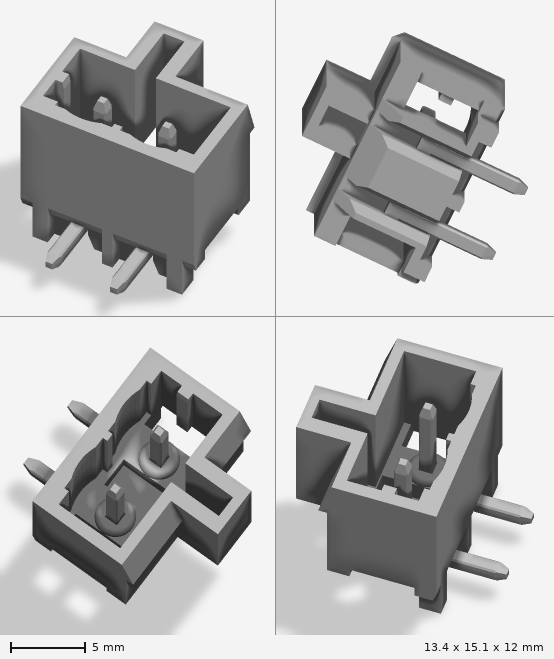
import cadquery as cq


WIDTH = 13.4
HEIGHT = 12.0
OVERALL_DEPTH = 15.1
BACK = 7.85
FRONT_SKIRT = 2.5
BACK_SKIRT = 2.6
SIDE_WALL = 0.88
FRONT_WALL = 1.57
CAVITY_BACK = 6.73
FLOOR_TOP = 4.0
FRONT_CHAMFER_DEPTH = 0.27
FRONT_CHAMFER_HEIGHT = 0.75

LATCH_TOP = 7.52
LATCH_TIP = 8.47
LATCH_BOTTOM = 9.0

TOWER_LEFT = 4.02
TOWER_RIGHT = 7.8
TOWER_BACK = 11.46
TOWER_SLOT_LEFT = 5.12
TOWER_SLOT_WIDTH = 1.62
TOWER_WALL = 0.71

PITCH = 5.0
PIN_X = [(WIDTH - PITCH) / 2, (WIDTH + PITCH) / 2]
PIN_Y = 3.87
PIN_Z = 1.98
PIN_SIZE = 1.01
PIN_EDGE = 0.12
PIN_TOP = 11.23
PIN_FRONT = TOWER_BACK - OVERALL_DEPTH
TIP_SIZE = 0.51
TIP_LENGTH = 0.8

COLLAR_DIAMETER = 2.8
COLLAR_HEIGHT = 0.5
COLLAR_ROUNDING = 0.38

BLOCK_LEFT = PIN_X[0] - COLLAR_DIAMETER / 2
BLOCK_RIGHT = PIN_X[1] + COLLAR_DIAMETER / 2
BLOCK_SLOPE_END = 6.28
FOOT_INSET = 0.92
FOOT_RECESS_DEPTH = 0.95
FOOT_RECESS_WIDTH = 4.18
SLOT_FLARE_WIDTH = 1.93
SLOT_FLARE_HEIGHT = 1.1

SIDE_HOLE_BACK = 6.24
SIDE_NOTCH_TOP = 3.35
POCKET_FRONT = 1.92
POCKET_BACK = 6.63

RELIEF_WIDTH = 9.36
RELIEF_DEPTH = 0.38
RELIEF_ARC_WIDTH = 2.8
RELIEF_ARC_DEPTH = 0.27
RELIEF_TAB_WIDTH = 0.6

NUB_LENGTH = 0.65
NUB_FRONT = 3.32
NUB_BACK = 4.25
NUB_TAPER = 0.12
NUB_TAPER_HEIGHT = 0.6


def box(x0, x1, y0, y1, z0, z1):
    """A block between two opposite corners."""
    return cq.Workplane("XY").box(x1 - x0, y1 - y0, z1 - z0, centered=False).translate((x0, y0, z0))


def side_profile(points, x0, x1):
    """A (Y, Z) outline extruded along X from x0 to x1."""
    return cq.Workplane("YZ", origin=(x0, 0, 0)).polyline(points).close().extrude(x1 - x0)


def shell():
    """Outer walls with the rear latch and the chamfered lower front edge."""
    outline = [
        (FRONT_CHAMFER_DEPTH, FRONT_SKIRT),
        (FRONT_WALL, FRONT_SKIRT),
        (FRONT_WALL, BACK_SKIRT),
        (BACK, BACK_SKIRT),
        (BACK, LATCH_BOTTOM),
        (LATCH_TIP, LATCH_BOTTOM),
        (LATCH_TOP, HEIGHT),
        (0, HEIGHT),
        (0, FRONT_SKIRT + FRONT_CHAMFER_HEIGHT),
    ]
    return side_profile(outline, 0, WIDTH)


def tower():
    return box(TOWER_LEFT, TOWER_RIGHT, CAVITY_BACK, TOWER_BACK, FLOOR_TOP, HEIGHT)


def floor_block():
    """Block below the floor, cut off at a slope behind."""
    outline = [
        (0, 0),
        (BLOCK_SLOPE_END, 0),
        (BACK, BACK_SKIRT),
        (BACK, FLOOR_TOP),
        (FRONT_WALL, FLOOR_TOP),
        (FRONT_WALL, FRONT_SKIRT),
        (0, FRONT_SKIRT),
    ]
    return side_profile(outline, BLOCK_LEFT, BLOCK_RIGHT)


def feet():
    """Front strip from outer foot to outer foot, carried up behind the chamfer."""
    top = FRONT_SKIRT + FRONT_CHAMFER_HEIGHT
    return box(FOOT_INSET, WIDTH - FOOT_INSET, 0, FRONT_WALL, 0, top)


def foot_recess(x):
    """Recess between two feet in front of a contact, below the chamfered edge."""
    outline = [
        (0, 0),
        (FOOT_RECESS_DEPTH, 0),
        (FOOT_RECESS_DEPTH, FRONT_SKIRT),
        (FRONT_CHAMFER_DEPTH, FRONT_SKIRT),
        (0, FRONT_SKIRT + FRONT_CHAMFER_HEIGHT),
    ]
    return side_profile(outline, x - FOOT_RECESS_WIDTH / 2, x + FOOT_RECESS_WIDTH / 2)


def contact_slot(x):
    """Slot through the block for a lying leg, flared at the underside."""
    half = PIN_SIZE / 2
    flare = SLOT_FLARE_WIDTH / 2
    top = PIN_Z + half
    outline = [
        (x - flare, 0),
        (x - half, SLOT_FLARE_HEIGHT),
        (x - half, top),
        (x + half, top),
        (x + half, SLOT_FLARE_HEIGHT),
        (x + flare, 0),
    ]
    return cq.Workplane("XZ").polyline(outline).close().extrude(-BACK)


def collar(x):
    return (
        cq.Workplane("XY", origin=(x, PIN_Y, FLOOR_TOP))
        .circle(COLLAR_DIAMETER / 2)
        .extrude(COLLAR_HEIGHT)
        .faces(">Z")
        .edges()
        .fillet(COLLAR_ROUNDING)
    )


def contact_bore(x):
    """Square bore for an upright leg, from the elbow through the collar."""
    half = PIN_SIZE / 2
    return box(x - half, x + half, PIN_Y - half, PIN_Y + half, PIN_Z, FLOOR_TOP + COLLAR_HEIGHT)


def cavity():
    """Plug chamber with its extension into the tower."""
    main = box(SIDE_WALL, WIDTH - SIDE_WALL, FRONT_WALL, CAVITY_BACK, FLOOR_TOP, HEIGHT)
    tower_slot = box(
        TOWER_SLOT_LEFT, TOWER_SLOT_LEFT + TOWER_SLOT_WIDTH,
        CAVITY_BACK, TOWER_BACK - TOWER_WALL,
        FLOOR_TOP, HEIGHT,
    )
    return main.union(tower_slot)


def front_relief():
    """Shallow relief in the front wall, bulging in front of each contact and split by a tab."""
    left = (WIDTH - RELIEF_WIDTH) / 2
    right = left + RELIEF_WIDTH
    face = FRONT_WALL - RELIEF_DEPTH
    outline = cq.Workplane("XY", origin=(0, 0, FLOOR_TOP)).moveTo(left, FRONT_WALL).lineTo(left, face)
    for x in PIN_X:
        outline = outline.lineTo(x - RELIEF_ARC_WIDTH / 2, face).threePointArc(
            (x, face - RELIEF_ARC_DEPTH), (x + RELIEF_ARC_WIDTH / 2, face)
        )
    relief = outline.lineTo(right, face).lineTo(right, FRONT_WALL).close().extrude(HEIGHT - FLOOR_TOP)
    middle = WIDTH / 2
    half_tab = RELIEF_TAB_WIDTH / 2
    return relief.cut(box(middle - half_tab, middle + half_tab, face, FRONT_WALL, FLOOR_TOP, HEIGHT))


def side_holes():
    """Openings through the floor beside the block, with a notch low in each side wall."""
    cutter = None
    for wall, inner, block in (
        (0, SIDE_WALL, BLOCK_LEFT),
        (WIDTH, WIDTH - SIDE_WALL, BLOCK_RIGHT),
    ):
        hole = box(min(inner, block), max(inner, block), FRONT_WALL, SIDE_HOLE_BACK, 0, FLOOR_TOP)
        notch = box(min(wall, block), max(wall, block), FRONT_WALL, SIDE_HOLE_BACK, 0, SIDE_NOTCH_TOP)
        opening = hole.union(notch)
        cutter = opening if cutter is None else cutter.union(opening)
    return cutter


def floor_pocket():
    """Blind pocket between the collars."""
    left = PIN_X[0] + COLLAR_DIAMETER / 2
    right = PIN_X[1] - COLLAR_DIAMETER / 2
    return box(left, right, POCKET_FRONT, POCKET_BACK, FRONT_SKIRT, FLOOR_TOP)


def coding_nub():
    """Full-height key on the left wall, tapered at its upper end."""
    tip = SIDE_WALL + NUB_LENGTH
    outline = [
        (SIDE_WALL, FLOOR_TOP),
        (tip, FLOOR_TOP),
        (tip, HEIGHT - NUB_TAPER_HEIGHT),
        (tip - NUB_TAPER, HEIGHT),
        (SIDE_WALL, HEIGHT),
    ]
    nub = cq.Workplane("XZ", origin=(0, NUB_FRONT, 0)).polyline(outline).close()
    return nub.extrude(NUB_FRONT - NUB_BACK)


def leg(length):
    """Bar with chamfered edges that rises from the origin to a tapered tip."""
    bar = cq.Workplane("XY").rect(PIN_SIZE, PIN_SIZE).extrude(length).edges("|Z").chamfer(PIN_EDGE)
    shaft = cq.Workplane("XY").rect(PIN_SIZE, PIN_SIZE).extrude(length - TIP_LENGTH)
    tip = (
        cq.Workplane("XY", origin=(0, 0, length - TIP_LENGTH))
        .rect(PIN_SIZE, PIN_SIZE)
        .workplane(offset=TIP_LENGTH)
        .rect(TIP_SIZE, TIP_SIZE)
        .loft(ruled=True)
    )
    return bar.intersect(shaft.union(tip))


def make_pin(x):
    """Angled contact: an upright leg and a leg lying toward the front, joined by a square elbow."""
    half = PIN_SIZE / 2
    elbow = box(-half, half, -half, half, -half, half)
    upright = leg(PIN_TOP - PIN_Z)
    lying = leg(PIN_Y - PIN_FRONT).rotate((0, 0, 0), (1, 0, 0), 90)
    return upright.union(lying).union(elbow).translate((x, PIN_Y, PIN_Z))


def make_housing():
    body = shell().union(tower()).union(feet()).union(floor_block())
    body = body.cut(cavity()).cut(front_relief()).cut(side_holes()).cut(floor_pocket())
    body = body.union(coding_nub())
    for x in PIN_X:
        body = body.union(collar(x))
        body = body.cut(foot_recess(x)).cut(contact_slot(x)).cut(contact_bore(x))
    return body


pins = [make_pin(x) for x in PIN_X]
housing = make_housing()

result = cq.Compound.makeCompound([housing.val(), *[pin.val() for pin in pins]])